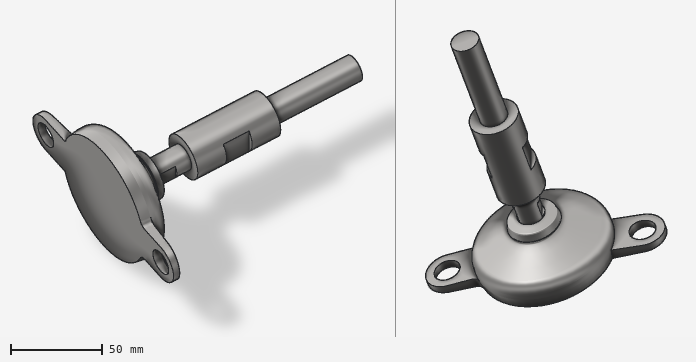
import cadquery as cq
import math


base_radius = 40.0
ground_radius = 39.0
skirt_height = 6.2
rim_top = 9.2
shoulder_radius = 7.5
cone_slope = math.radians(22.5)
neck_radius = 14.6
neck_top = 25.7
neck_fillet = 2.0

ear_reach = 68.0
ear_width = 25.0
ear_tip_thickness = 4.1
ear_hole_diameter = 15.0
ear_root_fillet = 5.0
ear_centre = ear_reach - ear_width / 2
ear_root = math.sqrt(base_radius**2 - (ear_width / 2) ** 2)

rod_diameter = 16.0
rod_end = 166.5
rod_flat_width = 13.0
rod_flat_length = 10.0
rod_flat_start = 33.3
sleeve_diameter = 28.0
sleeve_length = 55.0
sleeve_start = 53.1
sleeve_flat_width = 22.0
sleeve_flat_length = 17.0

collar_radius = 15.4
collar_lip = 26.2
collar_corner_radius = 14.3
collar_corner = 30.9
collar_rounding = 1.0
collar_top = 32.5


def base_dome():
    """Skirt, rim, rounded shoulder, cone and neck as one turned shape."""
    shoulder_centre_radius = base_radius - shoulder_radius

    def shoulder_point(angle):
        return (
            shoulder_centre_radius + shoulder_radius * math.cos(angle),
            rim_top + shoulder_radius * math.sin(angle),
        )

    shoulder_sweep = math.pi / 2 - cone_slope
    cone_foot = shoulder_point(shoulder_sweep)

    fillet_centre_radius = neck_radius + neck_fillet
    cone_head_radius = fillet_centre_radius - neck_fillet * math.sin(cone_slope)
    cone_head = (
        cone_head_radius,
        cone_foot[1] + (cone_foot[0] - cone_head_radius) * math.tan(cone_slope),
    )
    fillet_centre_y = cone_head[1] + neck_fillet * math.cos(cone_slope)
    middle_angle = (math.pi / 2 + cone_slope) / 2
    fillet_middle = (
        fillet_centre_radius - neck_fillet * math.sin(middle_angle),
        fillet_centre_y - neck_fillet * math.cos(middle_angle),
    )

    return (
        cq.Workplane("XY")
        .moveTo(0, 0)
        .lineTo(ground_radius, 0)
        .lineTo(base_radius, skirt_height)
        .lineTo(base_radius, rim_top)
        .threePointArc(shoulder_point(shoulder_sweep / 2), cone_foot)
        .lineTo(*cone_head)
        .threePointArc(fillet_middle, (neck_radius, fillet_centre_y))
        .lineTo(neck_radius, neck_top)
        .lineTo(0, neck_top)
        .close()
        .revolve(360, (0, 0, 0), (0, 1, 0))
    )


def base_flange():
    """Skirt disc with two drilled ears that get thinner towards their tips."""
    skirt = (
        cq.Workplane("XY")
        .polyline([(0, 0), (ground_radius, 0), (base_radius, skirt_height), (0, skirt_height)])
        .close()
        .revolve(360, (0, 0, 0), (0, 1, 0))
    )
    ears = cq.Workplane("XZ").slot2D(2 * ear_reach, ear_width).extrude(-skirt_height)
    flange = skirt.union(ears)

    corner_middle = skirt_height / 2
    corner_x = math.sqrt(((base_radius + ground_radius) / 2) ** 2 - (ear_width / 2) ** 2)
    for side in (-1, 1):
        corner = cq.selectors.NearestToPointSelector((corner_x, corner_middle, side * ear_width / 2))
        flange = flange.edges(corner).fillet(ear_root_fillet)

    for side in (-1, 1):
        slope_wedge = (
            cq.Workplane("XY")
            .polyline([
                (side * ear_root, skirt_height),
                (side * ear_reach, ear_tip_thickness),
                (side * ear_reach, skirt_height),
            ])
            .close()
            .extrude(base_radius, both=True)
        )
        flange = flange.cut(slope_wedge)

    holes = (
        cq.Workplane("XZ")
        .pushPoints([(-ear_centre, 0), (ear_centre, 0)])
        .circle(ear_hole_diameter / 2)
        .extrude(-skirt_height)
    )
    return flange.cut(holes)


def cylinder_along_y(diameter, start, end):
    return cq.Workplane("XZ", origin=(0, start, 0)).circle(diameter / 2).extrude(start - end)


def cut_wrench_flats(body, diameter, flat_width, start, length):
    """Cut two parallel flats, facing -X and +X, into a round stretch."""
    depth = (diameter - flat_width) / 2
    for side in (-1, 1):
        flat_cutter = cq.Workplane("XY").box(depth, length, diameter).translate(
            (side * (flat_width + depth) / 2, start + length / 2, 0)
        )
        body = body.cut(flat_cutter)
    return body


def spindle_collar():
    """Collar with a tapered side and rounded conical top, bevelled below to sit on the neck."""
    collar = (
        cq.Workplane("XY")
        .moveTo(0, neck_top)
        .lineTo(neck_radius, neck_top)
        .lineTo(collar_radius, collar_lip)
        .lineTo(collar_corner_radius, collar_corner)
        .lineTo(rod_diameter / 2, collar_top)
        .lineTo(0, collar_top)
        .close()
        .revolve(360, (0, 0, 0), (0, 1, 0))
    )
    corner_edge = cq.selectors.RadiusNthSelector(1)
    return collar.edges(corner_edge).fillet(collar_rounding)


def build_spindle():
    rod = cylinder_along_y(rod_diameter, collar_top, rod_end)
    rod = cut_wrench_flats(rod, rod_diameter, rod_flat_width, rod_flat_start, rod_flat_length)
    sleeve = cylinder_along_y(sleeve_diameter, sleeve_start, sleeve_start + sleeve_length)
    sleeve_flat_start = sleeve_start + (sleeve_length - sleeve_flat_length) / 2
    sleeve = cut_wrench_flats(
        sleeve, sleeve_diameter, sleeve_flat_width, sleeve_flat_start, sleeve_flat_length
    )
    return rod.union(sleeve).union(spindle_collar())


base = base_flange().union(base_dome())
spindle = build_spindle()

result = cq.Compound.makeCompound([base.solids().val(), spindle.solids().val()])